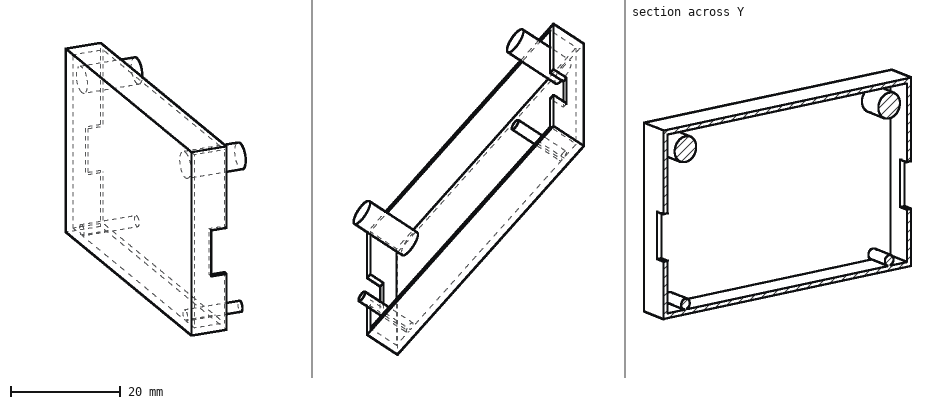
import cadquery as cq

length = 56.0
height = 36.0
depth = 7.0
wall = 1.0

notch_depth = 3.0
notch_width = 9.0
notch_bottom = 11.0

pin_protrusion = 5.0
pin_side_inset = 5.0
large_pin_diameter = 5.0
large_pin_top_inset = 4.5
small_pin_diameter = 2.1
small_pin_bottom_inset = 2.0


def make_box():
    outside = cq.Workplane("XY").box(length, depth, height, centered=False)
    cavity = cq.Workplane("XY").box(length - 2 * wall, depth - wall, height - 2 * wall, centered=False)
    return outside.cut(cavity.translate((wall, wall, wall)))


def make_notches():
    """One bar through both end walls."""
    bar = cq.Workplane("XY").box(length, notch_depth, notch_width, centered=False)
    return bar.translate((0, depth - notch_depth, notch_bottom))


def make_pin_pair(diameter, z):
    """Two pins rooted in the box floor and pointing along +Y."""
    floor = cq.Workplane("XZ", origin=(0, wall, 0))
    centers = [(pin_side_inset, z), (length - pin_side_inset, z)]
    pin_length = depth - wall + pin_protrusion
    return floor.pushPoints(centers).circle(diameter / 2).extrude(-pin_length)


large_pins = make_pin_pair(large_pin_diameter, height - large_pin_top_inset)
small_pins = make_pin_pair(small_pin_diameter, small_pin_bottom_inset)

result = make_box().cut(make_notches()).union(large_pins).union(small_pins)